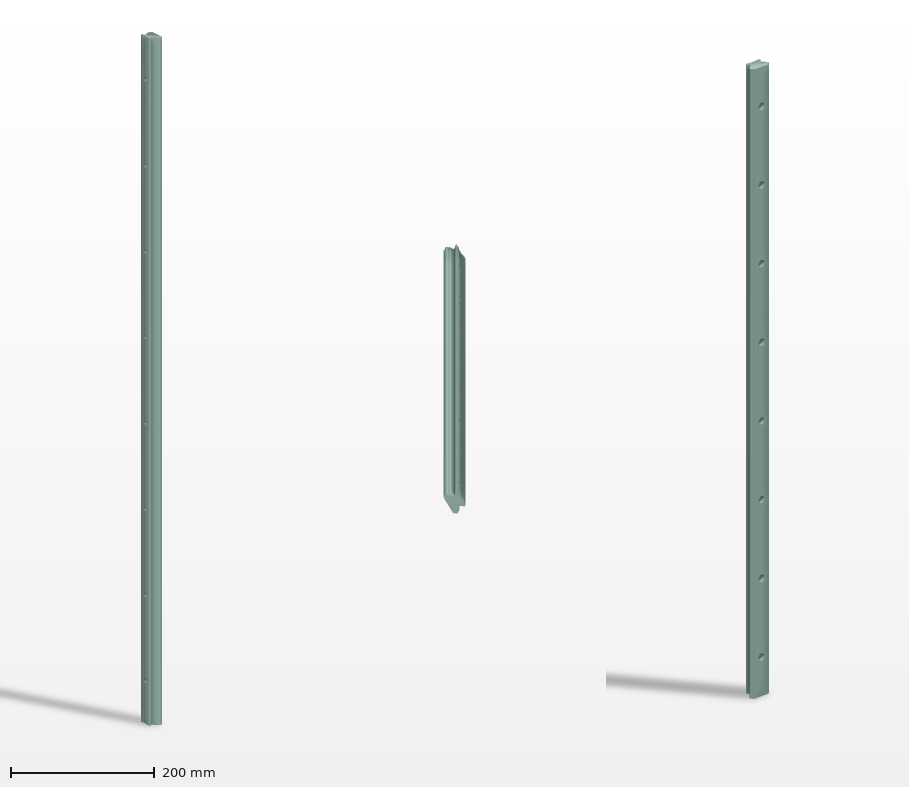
import math

import cadquery as cq

length = 1000.0
depth = 20.0
head_thickness = 9.6
head_half_width = 13.6
head_slope = 30.0
foot_half_width = 12.0
foot_side = 2.0
foot_slope = 45.0
neck_fillet = 1.5
groove_mouth_width = 12.2
groove_floor_width = 11.0
groove_depth = 1.0

track_radius = 3.0
track_spacing = 26.0
track_from_back = 5.0

hole_pitch = 125.0
hole_count = 8
hole_diameter = 6.6
counterbore_diameter = 11.0
counterbore_depth = 6.5

back = depth / 2
front = -depth / 2
head_front = back - head_thickness
track_y = back - track_from_back

head_rate = math.tan(math.radians(head_slope))
foot_rate = math.tan(math.radians(foot_slope))
foot_corner_y = front + foot_side
neck_half_width = (
    foot_corner_y - head_front + foot_rate * foot_half_width + head_rate * head_half_width
) / (foot_rate + head_rate)
neck_y = head_front - head_rate * (head_half_width - neck_half_width)


def make_body():
    """Extrude the section: its right side going down, then its left side going up."""
    right_side = [
        (head_half_width, back),
        (head_half_width, head_front),
        (neck_half_width, neck_y),
        (foot_half_width, foot_corner_y),
        (foot_half_width, front),
        (groove_mouth_width / 2, front),
        (groove_floor_width / 2, front + groove_depth),
    ]
    left_side = [(-x, y) for x, y in reversed(right_side)]
    bar = (
        cq.Workplane("XY", origin=(0, 0, -length / 2))
        .polyline(right_side + left_side)
        .close()
        .extrude(length)
    )
    for side in (-1, 1):
        neck_edge = cq.selectors.NearestToPointSelector((side * neck_half_width, neck_y, 0))
        bar = bar.edges("|Z").edges(neck_edge).fillet(neck_fillet)
    return bar


def make_tracks():
    """Two round bars sunk into the sides of the head."""
    return (
        cq.Workplane("XY", origin=(0, track_y, -length / 2))
        .pushPoints([(-track_spacing / 2, 0), (track_spacing / 2, 0)])
        .circle(track_radius)
        .extrude(length)
    )


def make_holes():
    """Bolt holes along Y, evenly spaced along the centre line and counterbored from the back."""
    positions = cq.Workplane("XZ", origin=(0, back, 0)).rarray(1, hole_pitch, 1, hole_count)
    bores = positions.circle(hole_diameter / 2).extrude(depth)
    counterbores = positions.circle(counterbore_diameter / 2).extrude(counterbore_depth)
    return bores.union(counterbores)


result = make_body().union(make_tracks()).cut(make_holes())